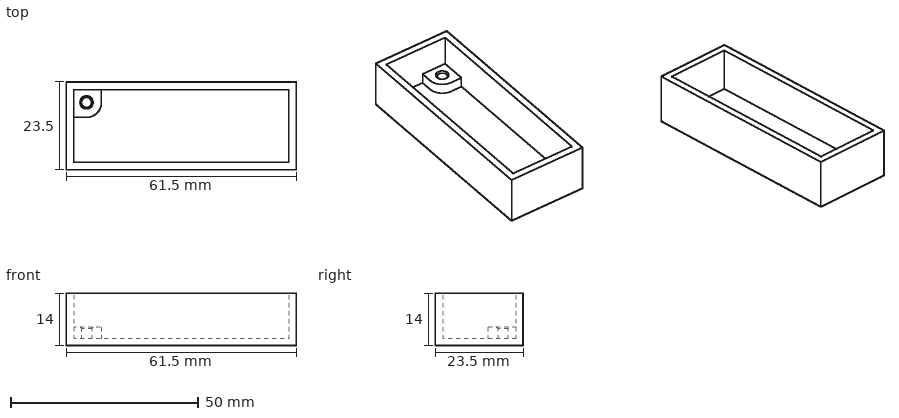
import cadquery as cq

length = 61.5
width = 23.5
height = 14.0
wall = 2.0
floor = wall

boss_radius = 4.0
boss_height = 3.0
hole_inset = 5.5
hole_diameter = 2.7
hole_mouth_diameter = 3.5
hole_chamfer = (hole_mouth_diameter - hole_diameter) / 2

corner_x = -length / 2
corner_y = width / 2
hole_x = corner_x + hole_inset
hole_y = corner_y - hole_inset
boss_side = hole_inset + boss_radius
boss_top = floor + boss_height


def make_tray():
    """Rectangular box with an open top and even walls."""
    outside = cq.Workplane("XY").box(length, width, height, centered=(True, True, False))
    cavity = (
        cq.Workplane("XY", origin=(0, 0, floor))
        .rect(length - 2 * wall, width - 2 * wall)
        .extrude(height - floor)
    )
    return outside.cut(cavity)


def make_boss():
    """Square corner block with its one free vertical edge rounded."""
    block = (
        cq.Workplane("XY", origin=(corner_x + boss_side / 2, corner_y - boss_side / 2, 0))
        .rect(boss_side, boss_side)
        .extrude(boss_top)
    )
    return block.edges("|Z").edges(">X and <Y").fillet(boss_radius)


def make_hole():
    """Blind hole from the boss top down to the floor, with a chamfered mouth."""
    profile = (
        cq.Workplane("XZ", origin=(hole_x, hole_y, 0))
        .moveTo(0, floor)
        .lineTo(hole_diameter / 2, floor)
        .lineTo(hole_diameter / 2, boss_top - hole_chamfer)
        .lineTo(hole_mouth_diameter / 2, boss_top)
        .lineTo(0, boss_top)
        .close()
    )
    return profile.revolve(360, (0, 0, 0), (0, 1, 0))


result = make_tray().union(make_boss()).cut(make_hole())